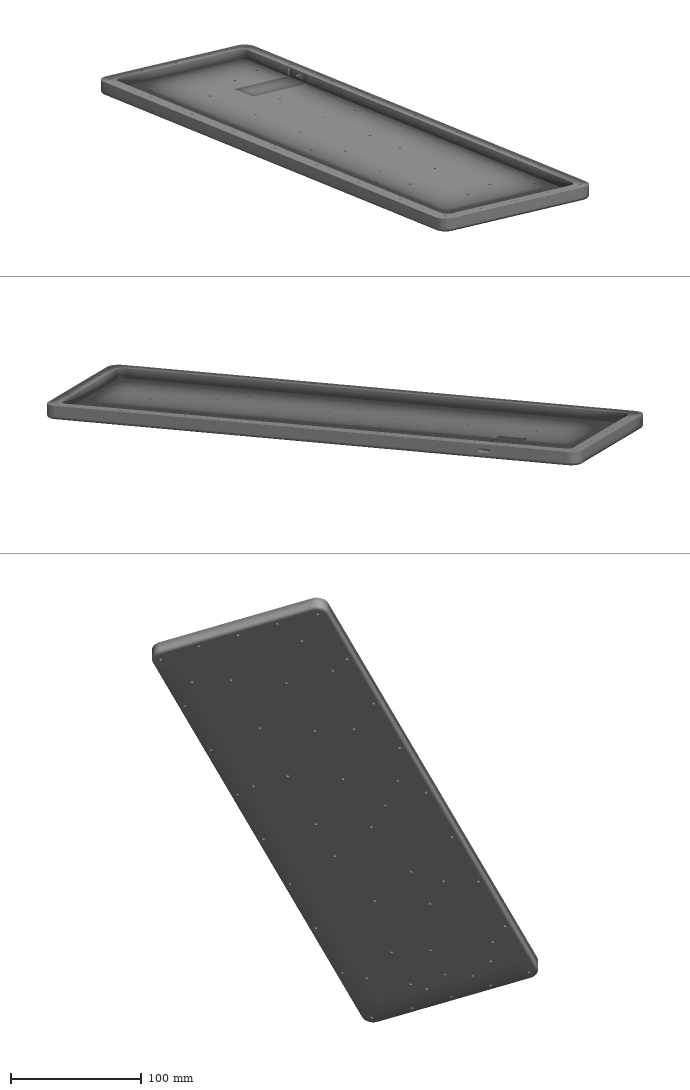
import cadquery as cq

length = 441
width = 146.0
height = 11.0
corner_radius = 9.5
bottom_radius = 2.5

inner_length = 421.5
inner_width = 126.0
inner_corner_radius = 5.7
floor_thickness = 3.0
side_wall = (width - inner_width) / 2

pocket_width = 24.0
pocket_length = 52.0
pocket_depth = 1.0
pocket_center_x = -143.5

cable_slot_width = 3.0
cable_slot_length = 9.3
cable_slot_center_z = 6.0
wall_recess_depth = 1.8
wall_recess_top = 9.5

screw_diameter = 2.0
rim_row_spacing = 53
rim_row_steps = range(-3, 4)
rim_end_steps = range(-1, 2)
rim_row_y = 67.5
rim_end_x = 215.3
rim_end_spacing = 32.5
rim_corner_x = 213.0
rim_corner_y = 65.5

ten_key_span = 190.5
key_pitch = ten_key_span / 10
plate_screw_rows = [
    (2.75, [-9.5, -3, 9]),
    (1.25, [-9, -6, -3, 0, 2, 8, 10]),
    (0.75, [5, 10.5]),
    (-0.25, [8.5, 10]),
    (-0.75, [-8, -5, -2, 1]),
    (-1.25, [4, 6, 10.5]),
    (-1.75, [0.06]),
    (-2.25, [-10, -4.5, 5, 10]),
    (-2.75, [-7.94, -1.06, 9]),
]


def make_tray():
    body = cq.Workplane("XY").box(length, width, height, centered=(True, True, False))
    body = body.edges("|Z").fillet(corner_radius)
    body = body.faces("<Z").edges().fillet(bottom_radius)
    cavity = cq.Workplane("XY").workplane(offset=floor_thickness)
    cavity = cavity.rect(inner_length, inner_width).extrude(height)
    cavity = cavity.edges("|Z").fillet(inner_corner_radius)
    return body.cut(cavity)


def make_pocket():
    bottom = floor_thickness - pocket_depth
    total_length = pocket_length + wall_recess_depth
    center_y = inner_width / 2 - pocket_length + total_length / 2
    pocket = cq.Workplane("XY", origin=(pocket_center_x, center_y, bottom))
    return pocket.rect(pocket_width, total_length).extrude(wall_recess_top - bottom)


def make_cable_slot():
    slot = cq.Workplane("XZ", origin=(pocket_center_x, width / 2, cable_slot_center_z))
    return slot.slot2D(cable_slot_length, cable_slot_width).extrude(side_wall)


def rim_points():
    points = []
    for side in (-1, 1):
        points += [(i * rim_row_spacing, side * rim_row_y) for i in rim_row_steps]
        points += [(side * rim_end_x, i * rim_end_spacing) for i in rim_end_steps]
        points += [(side * rim_corner_x, end * rim_corner_y) for end in (-1, 1)]
    return points


def plate_points():
    points = []
    for row, columns in plate_screw_rows:
        points += [(column * key_pitch, row * key_pitch) for column in columns]
    return points


def make_holes(points, depth):
    holes = cq.Workplane("XY")
    return holes.pushPoints(points).circle(screw_diameter / 2).extrude(depth)


result = make_tray()
result = result.cut(make_pocket())
result = result.cut(make_cable_slot())
result = result.cut(make_holes(rim_points(), height))
result = result.cut(make_holes(plate_points(), floor_thickness))